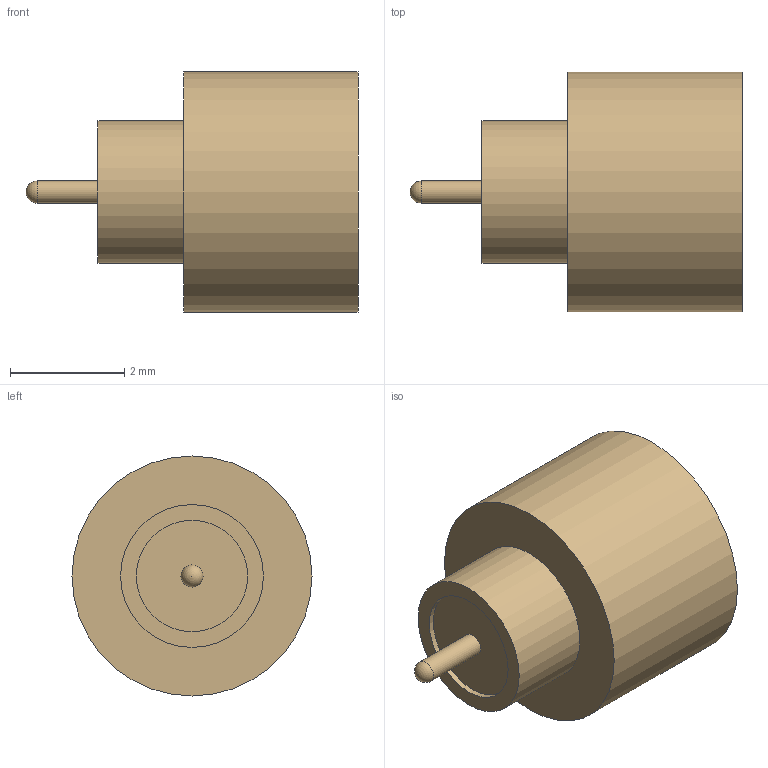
import cadquery as cq

overall_length = 5.81
body_length = 3.05
collar_length = 1.5
recess_depth = 0.1

body_radius = 4.2 / 2
collar_radius = 2.5 / 2
recess_radius = 1.95 / 2
pin_radius = 0.39 / 2

body_end = body_length
collar_face = -collar_length
recess_floor = collar_face + recess_depth
pin_tip = body_end - overall_length
dome_start = pin_tip + pin_radius


def make_housing():
    """Body and collar as one stepped turning, with the shallow recess in the collar face."""
    profile = (
        cq.Workplane("XZ")
        .moveTo(recess_floor, 0)
        .lineTo(recess_floor, recess_radius)
        .lineTo(collar_face, recess_radius)
        .lineTo(collar_face, collar_radius)
        .lineTo(0, collar_radius)
        .lineTo(0, body_radius)
        .lineTo(body_end, body_radius)
        .lineTo(body_end, 0)
        .close()
    )
    return profile.revolve(360, (0, 0, 0), (1, 0, 0))


def make_pin():
    """Contact pin standing on the recess floor, with a hemispherical free end."""
    profile = (
        cq.Workplane("XZ")
        .moveTo(pin_tip, 0)
        .radiusArc((dome_start, pin_radius), pin_radius)
        .lineTo(recess_floor, pin_radius)
        .lineTo(recess_floor, 0)
        .close()
    )
    return profile.revolve(360, (0, 0, 0), (1, 0, 0))


result = make_housing().union(make_pin())